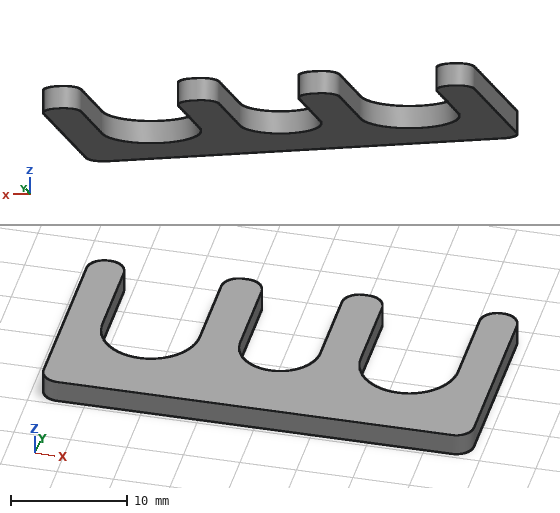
import cadquery as cq

length = 38.1
width = 19.05
thickness = 2.0
corner_radius = 1.55

slot_spacing = 11.43
outer_slot_width = 8.6
middle_slot_width = 7.1


def open_slot(center_x, slot_width):
    """U-shaped cutter with a round end, running out through the +Y edge."""
    run_out = width / 2
    straight = (
        cq.Workplane("XY")
        .center(center_x, run_out / 2)
        .rect(slot_width, run_out)
        .extrude(thickness)
    )
    round_end = cq.Workplane("XY").center(center_x, 0).circle(slot_width / 2).extrude(thickness)
    return straight.union(round_end)


plate = cq.Workplane("XY").box(length, width, thickness, centered=(True, True, False))

slots = [
    (-slot_spacing, outer_slot_width),
    (0, middle_slot_width),
    (slot_spacing, outer_slot_width),
]
for center_x, slot_width in slots:
    plate = plate.cut(open_slot(center_x, slot_width))

tip_corners = plate.faces(">Y").edges("|Z")
rear_corners = plate.faces("<Y").edges("|Z")
result = plate.newObject(tip_corners.vals() + rear_corners.vals()).fillet(corner_radius)